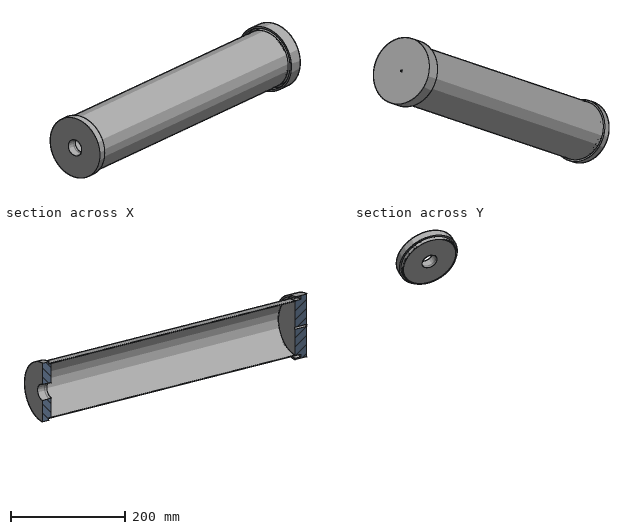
import cadquery as cq

total_length = 562.1

tube_diameter = 104.78
tube_bore = 100.33

plug_disc_diameter = 111.25
plug_disc_thickness = 13.6
plug_length = 19.05
taper_mouth_diameter = 29.6
taper_throat_diameter = 28.4
taper_depth = 14.6

cap_diameter = 119.13
cap_thickness = 25.4
groove_outer_diameter = 112.52
hub_diameter = 104.52
groove_depth = 12.7
vent_diameter = 3.17

tube_start = plug_disc_thickness
cap_start = total_length - cap_thickness
tube_length = cap_start - tube_start
spigot_length = plug_length - plug_disc_thickness


def rod(diameter, start, length):
    """Solid cylinder on the Y axis from y = start to y = start + length."""
    plane = cq.Workplane("XZ", origin=(0, start, 0))
    return plane.circle(diameter / 2).extrude(-length)


def ring(outer_diameter, inner_diameter, start, length):
    """Hollow cylinder on the Y axis from y = start to y = start + length."""
    return rod(outer_diameter, start, length).cut(rod(inner_diameter, start, length))


def make_tube():
    """Plain thin-walled tube."""
    return ring(tube_diameter, tube_bore, tube_start, tube_length)


def make_taper():
    """Cone that narrows from the outer face of the plug down to the straight part of its hole."""
    mouth_radius = taper_mouth_diameter / 2
    throat_radius = taper_throat_diameter / 2
    outer_face_centre = cq.Vector(0, 0, 0)
    inward = cq.Vector(0, 1, 0)
    return cq.Workplane(cq.Solid.makeCone(mouth_radius, throat_radius, taper_depth, outer_face_centre, inward))


def make_plug():
    """Disc with a spigot that fits the tube bore, and a through hole with a tapered mouth."""
    disc = rod(plug_disc_diameter, 0, plug_disc_thickness)
    spigot = rod(tube_bore, plug_disc_thickness, spigot_length)
    hole = rod(taper_throat_diameter, 0, plug_length)
    return disc.union(spigot).cut(hole).cut(make_taper())


def make_cap():
    """Thick disc with a ring groove around its hub and a small vent on the axis."""
    disc = ring(cap_diameter, vent_diameter, cap_start, cap_thickness)
    groove = ring(groove_outer_diameter, hub_diameter, cap_start, groove_depth)
    return disc.cut(groove)


tube = make_tube()
plug = make_plug()
cap = make_cap()

result = cq.Compound.makeCompound([tube.val(), plug.val(), cap.val()])